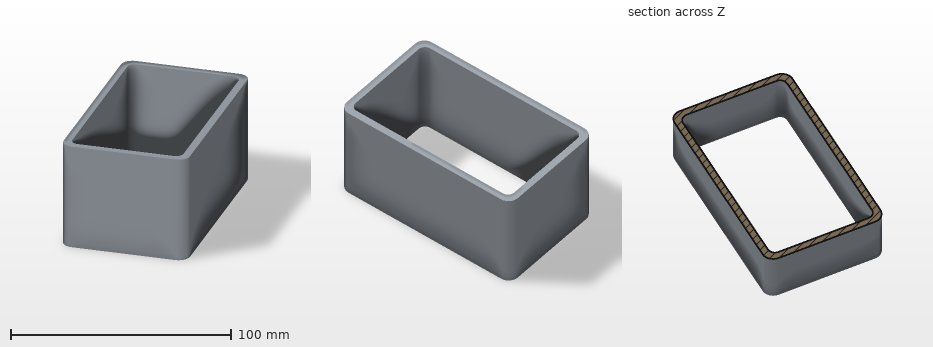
import cadquery as cq

width = 60.0
depth = 100.0
height = 50.0
wall = 3.6

outer_radius = 1.5 * wall
inner_radius = wall

bore_width = width - 2 * wall
bore_depth = depth - 2 * wall


def rounded_block(size_x, size_y, corner_radius):
    """Full-height block with rounded vertical edges."""
    block = cq.Workplane("XY").rect(size_x, size_y).extrude(height)
    return block.edges("|Z").fillet(corner_radius)


outer_block = rounded_block(width, depth, outer_radius)
bore = rounded_block(bore_width, bore_depth, inner_radius)

result = outer_block.cut(bore)